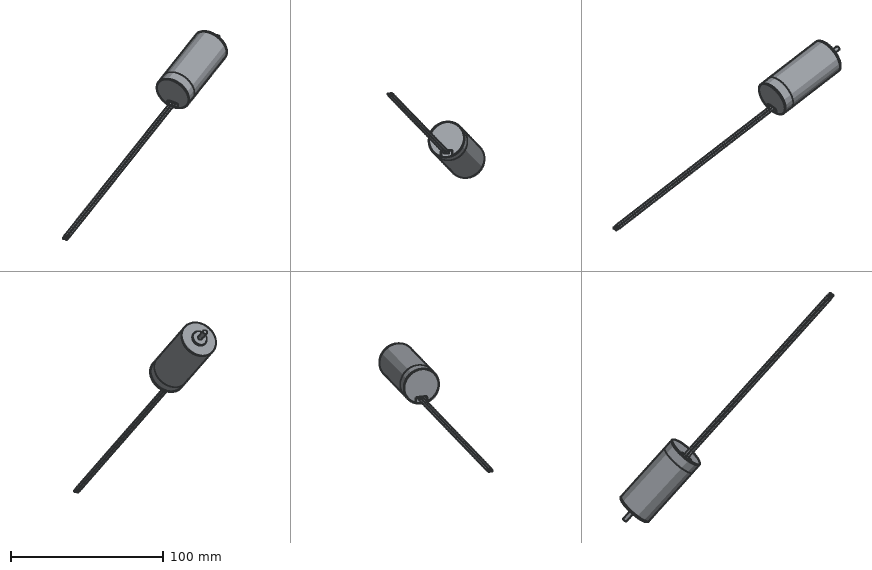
import cadquery as cq

TOTAL_LENGTH = 210.0
MOTOR_DIAMETER = 24.5
MOTOR_LENGTH = 52.0
FRONT_PLATE_THICKNESS = 1.0
CAP_LENGTH = 7.1
LID_DIAMETER = 23.5
LID_PROTRUSION = 0.5
LID_RECESS_DEPTH = 0.6

BOSS_DIAMETER = 10.0
BOSS_HEIGHT = 1.5
SHAFT_DIAMETER = 3.0
SHAFT_STICKOUT = 9.9

NOTCH_WIDTH = 8.5
NOTCH_TOP_Z = -7.1
NOTCH_CORNER_RADIUS = 1.7
INSERT_GAP = 0.6
INSERT_THICKNESS = 0.31

WIRE_DIAMETER = 1.6
WIRE_SPACING = 2.0
WIRE_PAIR_X = -0.15
WIRE_Z = -8.8
CONDUCTOR_DIAMETER = 1.2
STRIPPED_LENGTH = 2.7

front_plate_y = MOTOR_LENGTH - FRONT_PLATE_THICKNESS
shaft_tip_y = MOTOR_LENGTH + SHAFT_STICKOUT
lid_rear_y = -LID_PROTRUSION
notch_floor_y = LID_RECESS_DEPTH
conductor_tip_y = shaft_tip_y - TOTAL_LENGTH
wire_end_y = conductor_tip_y + STRIPPED_LENGTH
wire_positions_x = [WIRE_PAIR_X + side * WIRE_SPACING / 2 for side in (-1, 1)]


def rod(diameter, start_y, end_y, x=0.0, z=0.0):
    """Round rod parallel to Y, from start_y to end_y."""
    return cq.Workplane("XZ", origin=(x, start_y, z)).circle(diameter / 2).extrude(start_y - end_y)


def notch_block(inset, start_y, end_y):
    """Block shaped like the cable notch, inset from its top and sides, bounded below by the lid edge."""
    height = MOTOR_DIAMETER / 2
    block = (
        cq.Workplane("XY", origin=(0, start_y, NOTCH_TOP_Z - inset - height))
        .box(NOTCH_WIDTH - 2 * inset, end_y - start_y, height, centered=(True, False, False))
        .edges("|Y and >Z")
        .fillet(NOTCH_CORNER_RADIUS - inset)
    )
    return block.intersect(rod(LID_DIAMETER, start_y, end_y))


def make_front_plate():
    """Disc with a central boss, bored for the shaft."""
    disc = rod(MOTOR_DIAMETER, front_plate_y, MOTOR_LENGTH)
    boss = rod(BOSS_DIAMETER, MOTOR_LENGTH, MOTOR_LENGTH + BOSS_HEIGHT)
    return disc.union(boss).cut(shaft)


def make_cap():
    """Disc with a shallow recess in its rear face for the lid."""
    recess = rod(LID_DIAMETER, 0, LID_RECESS_DEPTH)
    return rod(MOTOR_DIAMETER, 0, CAP_LENGTH).cut(recess)


def make_lid():
    """Disc standing proud of the cap rim, cut through by the cable notch."""
    disc = rod(LID_DIAMETER, lid_rear_y, LID_RECESS_DEPTH)
    return disc.cut(notch_block(0, lid_rear_y, LID_RECESS_DEPTH))


def make_notch_insert():
    """Thin plate on the notch floor, pierced by the wires."""
    insert = notch_block(INSERT_GAP, notch_floor_y - INSERT_THICKNESS, notch_floor_y)
    for wire in wires:
        insert = insert.cut(wire)
    return insert


def make_wire(x):
    """Insulated length of one wire, from its stripped end to the notch floor."""
    return rod(WIRE_DIAMETER, wire_end_y, notch_floor_y, x, WIRE_Z)


def make_conductor(x):
    """Bare tip of one wire."""
    return rod(CONDUCTOR_DIAMETER, conductor_tip_y, wire_end_y, x, WIRE_Z)


shaft = rod(SHAFT_DIAMETER, front_plate_y, shaft_tip_y)
housing = rod(MOTOR_DIAMETER, CAP_LENGTH, front_plate_y)
front_plate = make_front_plate()
cap = make_cap()
lid = make_lid()
wires = [make_wire(x) for x in wire_positions_x]
conductors = [make_conductor(x) for x in wire_positions_x]
notch_insert = make_notch_insert()

bodies = [housing, front_plate, shaft, cap, lid, notch_insert, *wires, *conductors]
result = cq.Compound.makeCompound([body.val() for body in bodies])